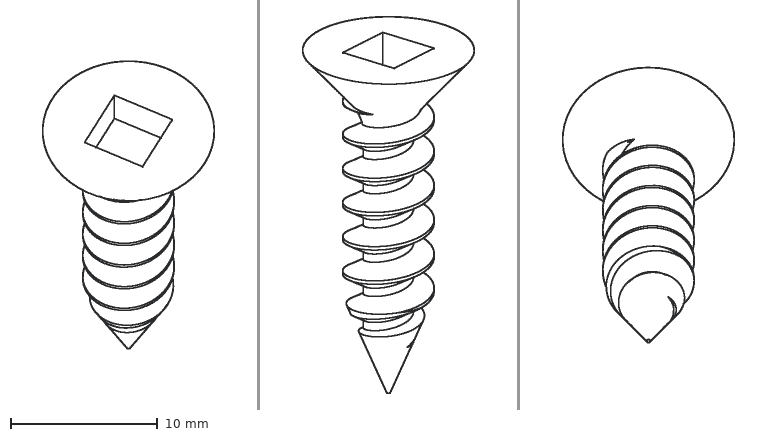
import cadquery as cq
import math

length = 25.4
head_radius = 5.87
head_half_angle = math.radians(41)
core_radius = 1.73
neck_radius = 3.65

tip_radius = 0.13
tip_height = 3.85

socket_side = 4.45
socket_depth = 2.72

thread_radius = 3.12
pitch = 2.55
crest_width = 0.25
root_width = 1.93
root_overlap = 0.1
crest_start = 1.68
thread_turns = 9

head_tan = math.tan(head_half_angle)
corner_height = length - (head_radius - core_radius) / head_tan
tangent_length = neck_radius * math.tan(head_half_angle / 2)
neck_bottom = corner_height - tangent_length
neck_top = corner_height + tangent_length * math.cos(head_half_angle)
neck_top_radius = head_radius - (length - neck_top) * head_tan
half_sweep = head_half_angle / 2
neck_middle = (
    core_radius + neck_radius * (1 - math.cos(half_sweep)),
    neck_bottom + neck_radius * math.sin(half_sweep),
)


def make_body():
    """Turned blank: point, core, neck and countersunk head."""
    return (
        cq.Workplane("XZ")
        .lineTo(tip_radius, 0)
        .lineTo(core_radius, tip_height)
        .lineTo(core_radius, neck_bottom)
        .threePointArc(neck_middle, (neck_top_radius, neck_top))
        .lineTo(head_radius, length)
        .lineTo(0, length)
        .close()
        .revolve(360, (0, 0, 0), (0, 1, 0))
    )


def make_thread_limit():
    """Space the thread may fill: the tip cone carried outward, cut flat under the head."""
    limit_radius = thread_radius + 0.25
    cone_slope = (core_radius - tip_radius) / tip_height
    cone_end = (limit_radius - tip_radius) / cone_slope
    return (
        cq.Workplane("XZ")
        .lineTo(tip_radius, 0)
        .lineTo(limit_radius, cone_end)
        .lineTo(limit_radius, neck_top)
        .lineTo(0, neck_top)
        .close()
        .revolve(360, (0, 0, 0), (0, 1, 0))
    )


def make_threaded_shaft():
    """Core rod with a trapezoidal helical ridge, trimmed at the point and below the head."""
    flank_slope = (root_width - crest_width) / 2 / (thread_radius - core_radius)
    inner_radius = core_radius - root_overlap
    inner_half_width = root_width / 2 + root_overlap * flank_slope
    crest_half_width = crest_width / 2
    helix = cq.Wire.makeHelix(pitch, pitch * thread_turns, core_radius)
    ridge = (
        cq.Workplane("XZ")
        .moveTo(inner_radius, -inner_half_width)
        .lineTo(thread_radius, -crest_half_width)
        .lineTo(thread_radius, crest_half_width)
        .lineTo(inner_radius, inner_half_width)
        .close()
        .sweep(cq.Workplane(obj=helix), isFrenet=True)
        .translate((0, 0, crest_start))
    )
    rod = cq.Workplane("XY").circle(core_radius).extrude(length)
    return rod.union(ridge).intersect(make_thread_limit())


def make_socket():
    """Square recess in the head."""
    return (
        cq.Workplane("XY")
        .workplane(offset=length - socket_depth)
        .rect(socket_side, socket_side)
        .extrude(socket_depth)
    )


result = make_threaded_shaft().union(make_body()).cut(make_socket())